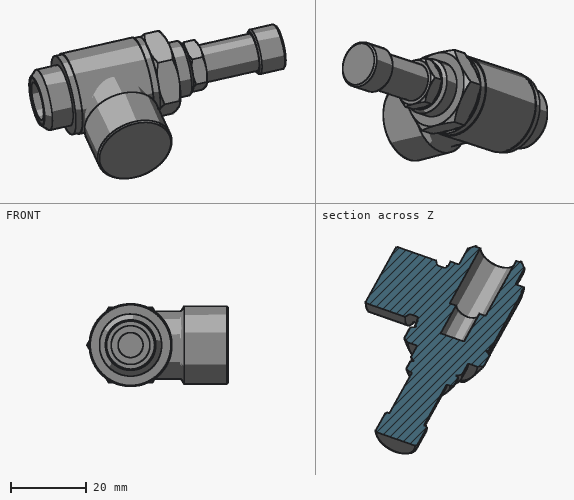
import cadquery as cq
import math

TOTAL_LENGTH = 67.9
SPIGOT_END = 7.5
BODY_START = 9.3
BODY_END = 29.2
COLLAR_END = 31.1
LARGE_HEX_END = 37.0
SMALL_HEX_START = 41.8
SMALL_HEX_END = 45.75
CAP_START = 60.55

SPIGOT_RADIUS = 8.3
BODY_RADIUS = 11.0
COLLAR_RADIUS = 10.7
SHOULDER_RADIUS = 7.5
STEM_RADIUS = 5.1
CAP_RADIUS = 6.1

SPIGOT_CHAMFER_LENGTH = 1.7
SPIGOT_TIP_RADIUS = 6.7
SHOULDER_CHAMFER = 0.9
CAP_CHAMFER = 0.5

LARGE_HEX_CORNER_DIAMETER = 23.2
SMALL_HEX_CORNER_DIAMETER = 14.0
HEX_BEVEL_ANGLE = 30.0

RECESS_RADIUS = 6.4
RECESS_DEPTH = 0.2
BORE_RADIUS = 5.15
BORE_DEPTH = 20.4
INNER_BORE_RADIUS = 3.3
INNER_BORE_DEPTH = 30.55

PORT_Y = 19.1
PORT_NECK_RADIUS = 9.0
PORT_RADIUS = 10.4
PORT_CONE_START = 13.45
PORT_HEAD_START = 14.25
PORT_END = 25.95
PORT_CHAMFER = 0.4
PORT_CONE_FILLET = 0.55
PORT_ROOT_FILLET = 0.35


def cylinder_y(radius, start, end):
    """Cylinder on the main axis between two Y stations."""
    return cq.Workplane("XZ", origin=(0, start, 0)).circle(radius).extrude(start - end)


def beveled_hex(corner_diameter, start, end):
    """Hexagonal nut whose corners are turned off by a cone at both ends."""
    corner_radius = corner_diameter / 2
    flat_radius = corner_radius * math.cos(math.radians(30))
    bevel = (corner_radius - flat_radius) * math.tan(math.radians(HEX_BEVEL_ANGLE))
    prism = cq.Workplane("XZ", origin=(0, start, 0)).polygon(6, corner_diameter).extrude(start - end)
    envelope = (
        cq.Workplane("XY")
        .moveTo(0, start)
        .lineTo(flat_radius, start)
        .lineTo(corner_radius, start + bevel)
        .lineTo(corner_radius, end - bevel)
        .lineTo(flat_radius, end)
        .lineTo(0, end)
        .close()
        .revolve(360, (0, 0, 0), (0, 1, 0))
    )
    return prism.intersect(envelope)


def spigot():
    """Threaded end with a conical tip."""
    return (
        cq.Workplane("XY")
        .lineTo(SPIGOT_TIP_RADIUS, 0)
        .lineTo(SPIGOT_RADIUS, SPIGOT_CHAMFER_LENGTH)
        .lineTo(SPIGOT_RADIUS, SPIGOT_END)
        .lineTo(0, SPIGOT_END)
        .close()
        .revolve(360, (0, 0, 0), (0, 1, 0))
    )


def side_port():
    """Neck widening through a short cone into the port head."""
    port = (
        cq.Workplane("XY")
        .moveTo(0, PORT_Y)
        .lineTo(0, PORT_Y + PORT_NECK_RADIUS)
        .lineTo(PORT_CONE_START, PORT_Y + PORT_NECK_RADIUS)
        .lineTo(PORT_HEAD_START, PORT_Y + PORT_RADIUS)
        .lineTo(PORT_END, PORT_Y + PORT_RADIUS)
        .lineTo(PORT_END, PORT_Y)
        .close()
        .revolve(360, (0, PORT_Y, 0), (1, PORT_Y, 0))
    )
    cone_root = cq.selectors.BoxSelector(
        (PORT_CONE_START - PORT_CHAMFER, PORT_Y - PORT_RADIUS, -PORT_RADIUS),
        (PORT_CONE_START + PORT_CHAMFER, PORT_Y + PORT_RADIUS, PORT_RADIUS),
    )
    return port.edges(cone_root).edges("%CIRCLE").fillet(PORT_CONE_FILLET).faces(">X").chamfer(PORT_CHAMFER)


def body_with_port():
    """Cylindrical body joined to the side port by a small fillet."""
    joined = cylinder_y(BODY_RADIUS, BODY_START, BODY_END).union(side_port())
    return joined.edges("%BSPLINE").fillet(PORT_ROOT_FILLET)


result = (
    body_with_port()
    .union(spigot())
    .union(cylinder_y(COLLAR_RADIUS, SPIGOT_END, COLLAR_END))
    .union(beveled_hex(LARGE_HEX_CORNER_DIAMETER, COLLAR_END, LARGE_HEX_END))
    .union(cylinder_y(SHOULDER_RADIUS, LARGE_HEX_END, SMALL_HEX_START).faces(">Y").chamfer(SHOULDER_CHAMFER))
    .union(beveled_hex(SMALL_HEX_CORNER_DIAMETER, SMALL_HEX_START, SMALL_HEX_END))
    .union(cylinder_y(STEM_RADIUS, SMALL_HEX_END, CAP_START))
    .union(cylinder_y(CAP_RADIUS, CAP_START, TOTAL_LENGTH).edges("%CIRCLE").chamfer(CAP_CHAMFER))
)

for radius, depth in (
    (RECESS_RADIUS, RECESS_DEPTH),
    (BORE_RADIUS, BORE_DEPTH),
    (INNER_BORE_RADIUS, INNER_BORE_DEPTH),
):
    result = result.cut(cylinder_y(radius, 0, depth))